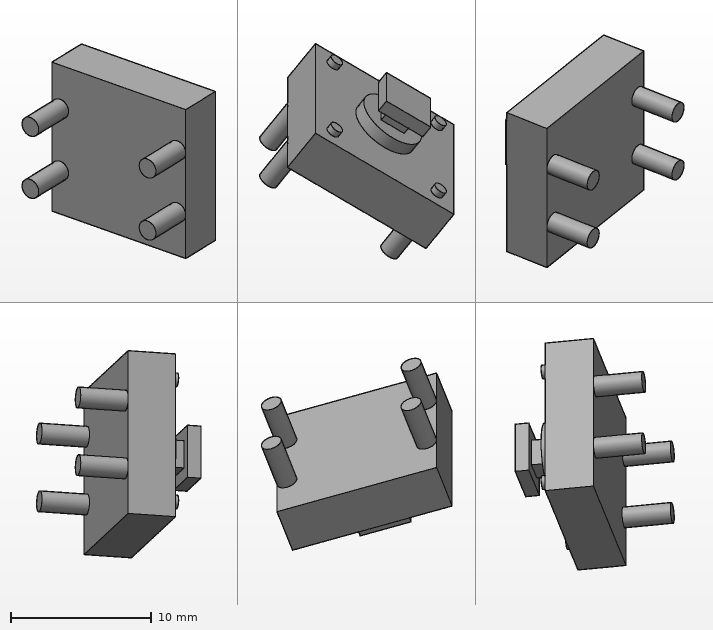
import cadquery as cq

body_side = 12.0
body_thickness = 3.5
body_back = body_thickness

pin_diameter = 1.5
pin_length = 3.5
pin_x = (body_side - pin_diameter) / 2
pin_z = 2.5

collar_diameter = 5.0
stem_side = 2.0
head_side = 3.84
step_height = 1.0

peg_diameter = 1.0
peg_length = 0.5
peg_offset = 4.5


def plane_at(y):
    """Workplane at the given y whose normal points along +Y."""
    return cq.Workplane(cq.Plane(origin=(0, y, 0), xDir=(1, 0, 0), normal=(0, 1, 0)))


def square_block(y, side, length):
    return plane_at(y).rect(side, side).extrude(length)


def four_cylinders(y, x_offset, z_offset, diameter, length):
    """Cylinders along +Y, placed symmetrically about the center."""
    centers = [(sx * x_offset, sz * z_offset) for sx in (-1, 1) for sz in (-1, 1)]
    return plane_at(y).pushPoints(centers).circle(diameter / 2).extrude(length)


body = square_block(0, body_side, body_thickness)
pins = four_cylinders(-pin_length, pin_x, pin_z, pin_diameter, pin_length)
pegs = four_cylinders(body_back, peg_offset, peg_offset, peg_diameter, peg_length)

collar = plane_at(body_back).circle(collar_diameter / 2).extrude(step_height)
stem = square_block(body_back + step_height, stem_side, step_height)
head = square_block(body_back + 2 * step_height, head_side, step_height)

result = body.union(pins).union(pegs).union(collar).union(stem).union(head)